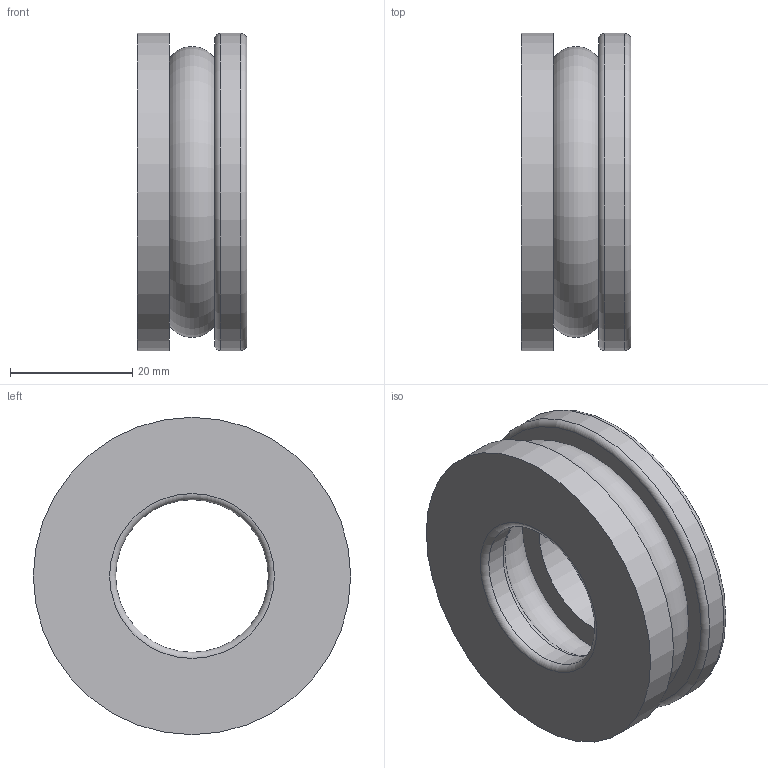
import cadquery as cq

outer_diameter = 52.0
bore_diameter = 25.0
total_width = 18.0
washer_width = 5.3
edge_radius = 1.0
ball_radius = 4.58

pitch_radius = (outer_diameter + bore_diameter) / 4


def washer(start_x):
    """Flat ring around the X axis, growing toward +X from start_x."""
    return (
        cq.Workplane("YZ", origin=(start_x, 0, 0))
        .circle(outer_diameter / 2)
        .circle(bore_diameter / 2)
        .extrude(washer_width)
    )


def shaft_washer():
    """Washer on the -X side, with both bore edges rounded."""
    bore_edges = cq.selectors.RadiusNthSelector(0)
    return washer(-total_width / 2).edges(bore_edges).fillet(edge_radius)


def housing_washer():
    """Washer on the +X side, with both rim edges rounded."""
    rim_edges = cq.selectors.RadiusNthSelector(-1)
    return washer(total_width / 2 - washer_width).edges(rim_edges).fillet(edge_radius)


def ball_ring():
    """Torus swept by the balls, sunk into both washers."""
    return (
        cq.Workplane("XY")
        .center(0, pitch_radius)
        .circle(ball_radius)
        .revolve(360, (0, -pitch_radius, 0), (1, -pitch_radius, 0))
    )


result = shaft_washer().union(ball_ring()).union(housing_washer())